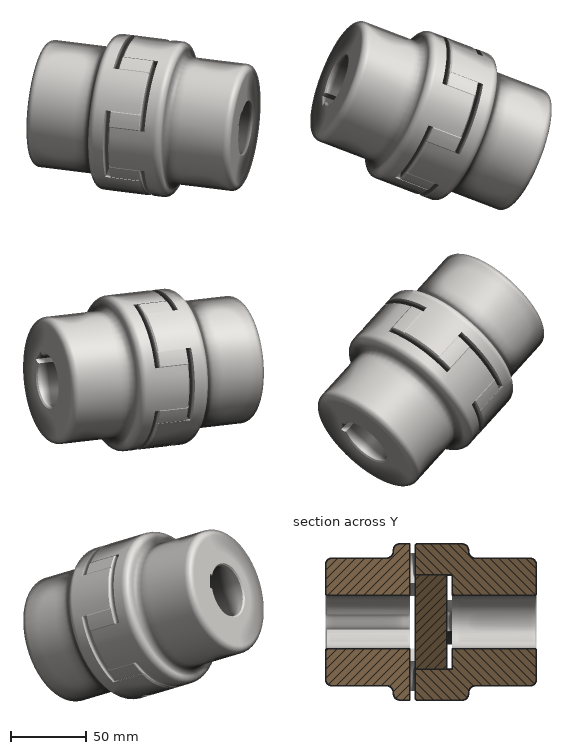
import cadquery as cq
import math


TOTAL_LENGTH = 140.0
FLANGE_DIAMETER = 104.0
SLEEVE_DIAMETER = 85.0

HUB_LENGTH = 56.0
FLANGE_THICKNESS = 11.0
ROUND_RADIUS = 4.5
BORE_RADIUS = 17.5
BORE_CHAMFER = 1.0
KEYWAY_WIDTH = 10.0
KEYWAY_HEIGHT = 20.3
JAW_COUNT = 4
JAW_CHAMFER = 1.0

SPIDER_WIDTH = 21.0
CORE_RADIUS = 31.2
LEG_COUNT = 2 * JAW_COUNT
LEG_CHAMFER = 0.5
LEG_HALF_WIDTH_AT_CORE = 6.2
LEG_HALF_WIDTH_AT_RIM = 5.5
LEG_HALF_WIDTH_AT_MIDDLE = 7.7

FLANGE_RADIUS = FLANGE_DIAMETER / 2
SLEEVE_RADIUS = SLEEVE_DIAMETER / 2
MIDDLE_X = TOTAL_LENGTH / 2
SPIDER_START_X = MIDDLE_X - SPIDER_WIDTH / 2
SPIDER_END_X = MIDDLE_X + SPIDER_WIDTH / 2
FLANGE_BACK_X = HUB_LENGTH - FLANGE_THICKNESS
JAW_PITCH = 360.0 / JAW_COUNT
LEG_PITCH = 360.0 / LEG_COUNT

CORE_CORNER = (math.sqrt(CORE_RADIUS**2 - LEG_HALF_WIDTH_AT_CORE**2), LEG_HALF_WIDTH_AT_CORE)
RIM_CORNER = (math.sqrt(FLANGE_RADIUS**2 - LEG_HALF_WIDTH_AT_RIM**2), LEG_HALF_WIDTH_AT_RIM)
LEG_MIDDLE = ((CORE_CORNER[0] + RIM_CORNER[0]) / 2, LEG_HALF_WIDTH_AT_MIDDLE)


def turned(point, angle):
    """The point turned about the origin by an angle in degrees."""
    cosine = math.cos(math.radians(angle))
    sine = math.sin(math.radians(angle))
    return (point[0] * cosine - point[1] * sine, point[0] * sine + point[1] * cosine)


def mirrored(point):
    """The point mirrored across the first axis."""
    return (point[0], -point[1])


def about_x(body, angle):
    return body.rotate((0, 0, 0), (1, 0, 0), angle)


def turned_blank():
    """Bored sleeve and flange, with a ring at the front that the jaws are left from."""
    corner_gap = ROUND_RADIUS * (1 - math.sqrt(0.5))
    profile = (
        cq.Workplane("XZ")
        .moveTo(BORE_CHAMFER, BORE_RADIUS)
        .lineTo(0, BORE_RADIUS + BORE_CHAMFER)
        .lineTo(0, SLEEVE_RADIUS - ROUND_RADIUS)
        .threePointArc((corner_gap, SLEEVE_RADIUS - corner_gap), (ROUND_RADIUS, SLEEVE_RADIUS))
        .lineTo(FLANGE_BACK_X - ROUND_RADIUS, SLEEVE_RADIUS)
        .threePointArc(
            (FLANGE_BACK_X - corner_gap, SLEEVE_RADIUS + corner_gap),
            (FLANGE_BACK_X, SLEEVE_RADIUS + ROUND_RADIUS),
        )
        .lineTo(FLANGE_BACK_X, FLANGE_RADIUS - ROUND_RADIUS)
        .threePointArc(
            (FLANGE_BACK_X + corner_gap, FLANGE_RADIUS - corner_gap),
            (FLANGE_BACK_X + ROUND_RADIUS, FLANGE_RADIUS),
        )
        .lineTo(SPIDER_END_X - JAW_CHAMFER, FLANGE_RADIUS)
        .lineTo(SPIDER_END_X, FLANGE_RADIUS - JAW_CHAMFER)
        .lineTo(SPIDER_END_X, CORE_RADIUS)
        .lineTo(HUB_LENGTH, CORE_RADIUS)
        .lineTo(HUB_LENGTH, BORE_RADIUS)
        .close()
    )
    return profile.revolve(360, (0, 0, 0), (1, 0, 0))


def jaw_gap():
    """Space between two jaws, at +Y; its bulging sides are the outer sides of the two legs in it."""
    core_corner = turned(CORE_CORNER, LEG_PITCH / 2)
    side_middle = turned(LEG_MIDDLE, LEG_PITCH / 2)
    rim_corner = turned(RIM_CORNER, LEG_PITCH / 2)
    outside = (2 * FLANGE_RADIUS, rim_corner[1])
    return (
        cq.Workplane("YZ", origin=(HUB_LENGTH, 0, 0))
        .lineTo(*core_corner)
        .threePointArc(side_middle, rim_corner)
        .lineTo(*outside)
        .lineTo(*mirrored(outside))
        .lineTo(*mirrored(rim_corner))
        .threePointArc(mirrored(side_middle), mirrored(core_corner))
        .close()
        .extrude(SPIDER_END_X - HUB_LENGTH)
    )


def hub():
    """Hub with its end face at X = 0, its keyway at +Y and its jaws midway between the Y and Z axes."""
    body = turned_blank()
    for index in range(JAW_COUNT):
        body = body.cut(about_x(jaw_gap(), index * JAW_PITCH))
    keyway = cq.Workplane("XY").box(HUB_LENGTH, KEYWAY_HEIGHT, KEYWAY_WIDTH, centered=(False, False, True))
    return body.cut(keyway)


def leg():
    """Spider leg pointing to +Y, with bulging sides and chamfered outer edges."""
    block = (
        cq.Workplane("YZ", origin=(SPIDER_START_X, 0, 0))
        .lineTo(*mirrored(CORE_CORNER))
        .threePointArc(mirrored(LEG_MIDDLE), mirrored(RIM_CORNER))
        .threePointArc((FLANGE_RADIUS, 0), RIM_CORNER)
        .threePointArc(LEG_MIDDLE, CORE_CORNER)
        .close()
        .extrude(SPIDER_WIDTH)
    )
    return block.faces(">Y").edges().chamfer(LEG_CHAMFER)


def spider():
    """Solid core disc with evenly spaced legs, each between a jaw of one hub and a jaw of the other."""
    body = cq.Workplane("YZ", origin=(SPIDER_START_X, 0, 0)).circle(CORE_RADIUS).extrude(SPIDER_WIDTH)
    for index in range(LEG_COUNT):
        body = body.union(about_x(leg(), (index + 0.5) * LEG_PITCH))
    return body


left_hub = hub()
facing_hub = hub().rotate((MIDDLE_X, 0, 0), (MIDDLE_X, 0, 1), 180)
right_hub = about_x(facing_hub, -JAW_PITCH / 2)
jaw_spider = spider()

result = cq.Compound.makeCompound([left_hub.val(), right_hub.val(), jaw_spider.val()])